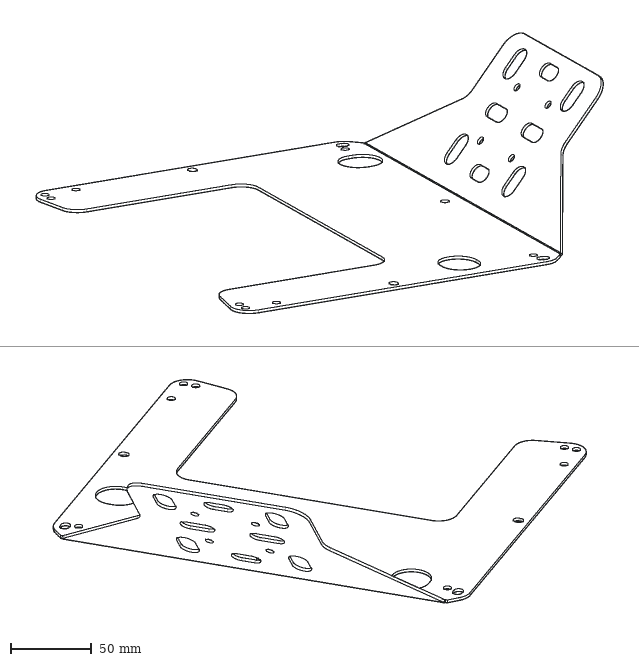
import cadquery as cq
import math

thickness = 2.0
bend_radius = 1.0
bend_angle = 50.0
bend_half_width = 126.0
bend_axis_height = thickness + bend_radius

base_half_width = 137.0
rear_edge_half_width = 127.5
base_length = 229.505
shoulder_size = base_half_width - rear_edge_half_width
opening_half_width = 92.0
opening_depth = 130.0
leg_end_angle = 10.5
base_corner_radius = 12.0

small_hole = 5.0
edge_hole = 5.5
hole_column_outer = 129.5
hole_column_inner = 121.5
front_hole_y = 7.0
leg_hole_y = 28.75
middle_slot_x = 130.0
middle_slot_y = 111.0
middle_slot_length = 6.5
rear_slot_y = 216.25
rear_slot_length = 8.0
rear_slot_width = 6.0
rear_hole_y = 213.75
center_hole_y = 217.75

cable_slot_length = 28.0
cable_slot_width = 25.0
left_cable_position = (-96.0, 210.5)
right_cable_position = (113.5, 166.0)

mount_length = 107.517
mount_half_width = 60.0
mount_neck_height = 56.5
mount_corner_radius = 13.0
mount_neck_radius = 10.0

pattern_height = 56.25
corner_slot_spacing = (74.0, 64.0)
corner_slot_length = 22.0
corner_slot_width = 12.5
end_slot_spacing = 76.0
end_slot_length = 19.0
side_slot_spacing = 46.0
side_slot_length = 22.5
pattern_slot_width = 10.0
pattern_hole_spacing = 40.0
pattern_hole = 5.0


def mirrored(x, y):
    """The point and its mirror image across the YZ plane."""
    return [(-x, y), (x, y)]


def plate(points):
    """A closed outline extruded to the sheet thickness, with its underside at Z = 0."""
    return cq.Workplane("XY").polyline(points).close().extrude(thickness)


def hole_cutter(points, diameter):
    return cq.Workplane("XY").pushPoints(points).circle(diameter / 2).extrude(thickness)


def slot_cutter(points, length, width, angle=0):
    return cq.Workplane("XY").pushPoints(points).slot2D(length, width, angle).extrude(thickness)


def round_corners(body, points, radius):
    """Fillet the upright edges that stand at the given outline points."""
    for x, y in points:
        edge = cq.selectors.NearestToPointSelector((x, y, thickness / 2))
        body = body.edges("|Z").edges(edge).fillet(radius)
    return body


def make_base():
    slope = math.radians(leg_end_angle)
    leg_outer_y = base_corner_radius * (1 - 1 / math.cos(slope) - math.tan(slope))
    leg_inner_y = leg_outer_y + (base_half_width - opening_half_width) * math.tan(slope)
    right_side = [
        (opening_half_width, opening_depth),
        (opening_half_width, leg_inner_y),
        (base_half_width, leg_outer_y),
        (base_half_width, base_length - shoulder_size),
    ]
    right_side_to_fold = right_side + [(rear_edge_half_width, base_length)]
    left_side_from_fold = [(-x, y) for x, y in reversed(right_side_to_fold)]
    body = plate(right_side_to_fold + left_side_from_fold)
    for x, y in right_side:
        body = round_corners(body, mirrored(x, y), base_corner_radius)

    small_holes = (
        mirrored(hole_column_outer, front_hole_y)
        + mirrored(hole_column_inner, front_hole_y)
        + mirrored(hole_column_outer, leg_hole_y)
        + mirrored(hole_column_inner, rear_hole_y)
    )
    body = body.cut(hole_cutter(small_holes, small_hole))

    body = body.cut(hole_cutter([(0, center_hole_y)], edge_hole))
    middle_slots = mirrored(middle_slot_x, middle_slot_y)
    body = body.cut(slot_cutter(middle_slots, middle_slot_length, edge_hole))
    rear_slots = mirrored(hole_column_outer, rear_slot_y)
    body = body.cut(slot_cutter(rear_slots, rear_slot_length, rear_slot_width, 90))

    body = body.cut(slot_cutter([left_cable_position], cable_slot_length, cable_slot_width, 90))
    return body.cut(slot_cutter([right_cable_position], cable_slot_length, cable_slot_width))


def make_bend():
    """The curved strip of sheet that joins the base plate to the mounting plate."""
    return (
        cq.Workplane("XZ", origin=(0, base_length, 0))
        .center(0, thickness / 2)
        .rect(2 * bend_half_width, thickness)
        .revolve(bend_angle, (-1, bend_radius + thickness / 2), (1, bend_radius + thickness / 2))
    )


def make_mount():
    right_side = [
        (bend_half_width, 0),
        (mount_half_width, mount_neck_height),
        (mount_half_width, mount_length),
    ]
    left_side = [(-x, y) for x, y in reversed(right_side)]
    body = plate(right_side + left_side)
    body = round_corners(body, mirrored(mount_half_width, mount_neck_height), mount_neck_radius)
    body = round_corners(body, mirrored(mount_half_width, mount_length), mount_corner_radius)

    def around_center(x_spacing, y_spacing):
        x_places = {-x_spacing / 2, x_spacing / 2}
        y_places = {-y_spacing / 2, y_spacing / 2}
        return [(x, pattern_height + y) for x in x_places for y in y_places]

    corner_slots = around_center(*corner_slot_spacing)
    body = body.cut(slot_cutter(corner_slots, corner_slot_length, corner_slot_width, 90))
    end_slots = around_center(0, end_slot_spacing)
    body = body.cut(slot_cutter(end_slots, end_slot_length, pattern_slot_width))
    side_slots = around_center(side_slot_spacing, 0)
    body = body.cut(slot_cutter(side_slots, side_slot_length, pattern_slot_width))
    pattern_holes = around_center(pattern_hole_spacing, pattern_hole_spacing)
    body = body.cut(hole_cutter(pattern_holes, pattern_hole))

    body = body.translate((0, base_length, 0))
    axis_start = (0, base_length, bend_axis_height)
    axis_end = (1, base_length, bend_axis_height)
    return body.rotate(axis_start, axis_end, bend_angle)


base = make_base()
bend = make_bend()
mount = make_mount()

result = cq.Compound.makeCompound([body.solids().val() for body in (base, bend, mount)])